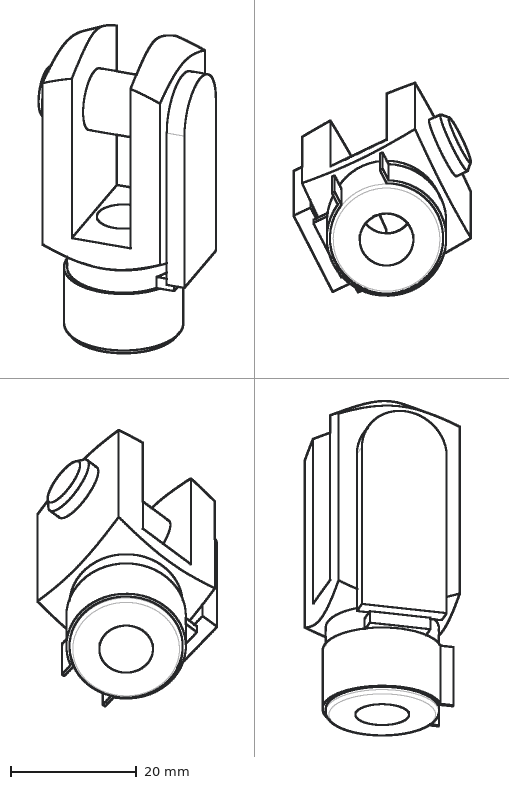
import cadquery as cq
import math

total_height = 52.0
fork_width = 20.0
slot_width = 10.0
slot_floor_z = 20.0
head_bottom_z = 14.95
neck_radius = 9.0
foot_fillet = 0.5
bore_diameter = 8.5
cone_angle = 30.0

pin_diameter = 10.0
pin_axis_z = 40.0
pin_overhang = 2.95
pin_chamfer = 1.0

plate_thickness = 3.0
plate_width = 14.0
plate_bottom_z = 13.0

ring_thickness = 0.5
ring_bottom_z = 1.0
ring_top_z = 11.0
ring_gap = 8.0
ear_end_y = 10.5

tab_width = 10.0
tab_overlap = 0.5

half_width = fork_width / 2
cone_slope = math.tan(math.radians(cone_angle))


def x_cylinder(diameter, x_start, x_end):
    """Cylinder along X on the pin axis."""
    return (
        cq.Workplane("YZ", origin=(x_start, 0, pin_axis_z))
        .circle(diameter / 2)
        .extrude(x_end - x_start)
    )


def box_between(x_range, y_range, z_range):
    """Box spanning the given ranges along X, Y and Z."""
    (x0, x1), (y0, y1), (z0, z1) = x_range, y_range, z_range
    return cq.Workplane("XY").box(x1 - x0, y1 - y0, z1 - z0, centered=False).translate((x0, y0, z0))


def make_head():
    """Square block whose two ends are trimmed by cones about Z."""
    block = box_between(
        (-half_width, half_width), (-half_width, half_width), (head_bottom_z, total_height)
    )
    crown_radius = slot_width / 2
    outer_radius = fork_width
    upper_edge_z = total_height - (outer_radius - crown_radius) * cone_slope
    lower_edge_z = head_bottom_z + (outer_radius - neck_radius) * cone_slope
    envelope = (
        cq.Workplane("XZ")
        .moveTo(0, head_bottom_z)
        .lineTo(neck_radius, head_bottom_z)
        .lineTo(outer_radius, lower_edge_z)
        .lineTo(outer_radius, upper_edge_z)
        .lineTo(crown_radius, total_height)
        .lineTo(0, total_height)
        .close()
        .revolve(360, (0, 0, 0), (0, 1, 0))
    )
    return block.intersect(envelope)


def make_fork():
    neck = cq.Workplane("XY").circle(neck_radius).extrude(head_bottom_z)
    neck = neck.faces("<Z").edges().fillet(foot_fillet)
    slot = box_between(
        (-slot_width / 2, slot_width / 2), (-half_width, half_width), (slot_floor_z, total_height)
    )
    bore = cq.Workplane("XY").circle(bore_diameter / 2).extrude(slot_floor_z)
    pin_hole = x_cylinder(pin_diameter, -half_width, half_width)
    return make_head().union(neck).cut(slot).cut(bore).cut(pin_hole)


def make_pin():
    pin = x_cylinder(pin_diameter, -half_width - pin_overhang, half_width)
    return pin.faces("<X").chamfer(pin_chamfer)


def make_plate():
    """Side plate with a round top concentric with the pin."""
    plate_end_x = half_width + plate_thickness
    strip = box_between(
        (half_width, plate_end_x), (-plate_width / 2, plate_width / 2), (plate_bottom_z, pin_axis_z)
    )
    return strip.union(x_cylinder(plate_width, half_width, plate_end_x))


def make_ring():
    """Ring open towards +Y, with an ear on each side of the gap, and the tab on its +X side."""
    ring_height = ring_top_z - ring_bottom_z
    ring_radius = neck_radius + ring_thickness
    ring = cq.Workplane("XY", origin=(0, 0, ring_bottom_z)).circle(ring_radius).extrude(ring_height)
    ring_z = (ring_bottom_z, ring_top_z)
    half_gap = ring_gap / 2
    for inner_x in (-half_gap - ring_thickness, half_gap):
        ring = ring.union(box_between((inner_x, inner_x + ring_thickness), (0, ear_end_y), ring_z))
    gap = box_between((-half_gap, half_gap), (0, ear_end_y), ring_z)
    tab = box_between(
        (0, half_width + tab_overlap), (-tab_width / 2, tab_width / 2), (ring_top_z, plate_bottom_z)
    )
    neck_space = cq.Workplane("XY").circle(neck_radius).extrude(head_bottom_z)
    return ring.cut(gap).union(tab).cut(neck_space)


def make_clip():
    return make_pin().union(make_plate()).union(make_ring())


fork = make_fork()
clip = make_clip()

result = cq.Compound.makeCompound([fork.val(), clip.val()])